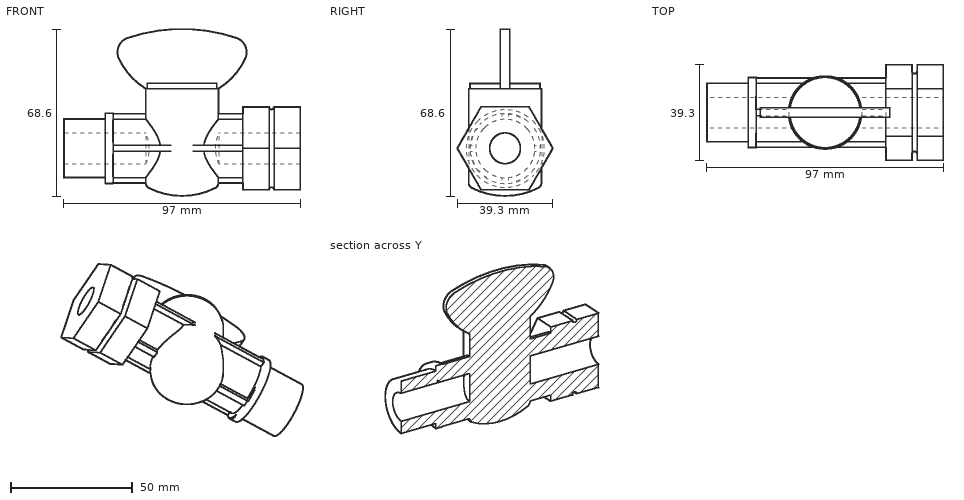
import cadquery as cq
import math

half_length = 48.5
pipe_diameter = 24.2
bore_diameter = 12.6
pipe_tip_fillet = 0.2

ring_diameter = 28.9
ring_width = 3.3
ring_start = -31.5
ring_edge_fillet = 0.3

rib_span = 28.5
rib_thickness = 2.6

hex_corner_width = 39.3
hex_flat_width = hex_corner_width * math.sqrt(3) / 2
nut_width = 10.8
nut_gap = 2.0
nut_start = half_length - 2 * nut_width - nut_gap

stem_diameter = 30.0
stem_radius = stem_diameter / 2
stem_top = 24.4
cap_diameter = 28.9
cap_height = 2.1
dome_radius = 30.0
dome_tip = -19.6
stem_edge_fillet = 2.5

handle_thickness = 4.0
handle_top = 49.0
handle_half_width = 26.5
handle_widest_height = 40.2
handle_shoulder = (22.6, 45.2)
handle_flank_start = (26.1, 37.1)
handle_flank_middle = (21.2, 29.7)


def cylinder_x(diameter, start, length):
    return cq.Workplane("YZ", origin=(start, 0, 0)).circle(diameter / 2).extrude(length)


def make_pipe():
    pipe = cylinder_x(pipe_diameter, -half_length, half_length + nut_start)
    pipe = pipe.faces("<X").edges().fillet(pipe_tip_fillet)
    ring = cylinder_x(ring_diameter, ring_start, ring_width).edges().fillet(ring_edge_fillet)
    return pipe.union(ring)


def make_ribs():
    start = ring_start + ring_width / 2
    length = nut_start - start
    flat = cq.Workplane("XY").box(length, rib_span, rib_thickness)
    upright = cq.Workplane("XY").box(length, rib_thickness, rib_span)
    return flat.union(upright).translate((start + length / 2, 0, 0))


def make_nuts():
    neck_start = nut_start + nut_width
    neck_middle = neck_start + nut_gap / 2
    nuts = cylinder_x(hex_flat_width, neck_start, nut_gap)
    groove = cq.Solid.makeTorus(
        hex_flat_width / 2, nut_gap / 2, cq.Vector(neck_middle, 0, 0), cq.Vector(1, 0, 0)
    )
    nuts = nuts.cut(groove)
    for start in (nut_start, neck_start + nut_gap):
        nut = cq.Workplane("YZ", origin=(start, 0, 0)).polygon(6, hex_corner_width).extrude(nut_width)
        nuts = nuts.union(nut)
    return nuts


def make_stem():
    body = cq.Workplane("XY", origin=(0, 0, dome_tip)).circle(stem_radius).extrude(stem_top - dome_tip)
    dome = cq.Workplane("XY").sphere(dome_radius).translate((0, 0, dome_tip + dome_radius))
    cap = cq.Workplane("XY", origin=(0, 0, stem_top)).circle(cap_diameter / 2).extrude(cap_height)
    body = body.intersect(dome).faces("<Z").edges().fillet(stem_edge_fillet)
    return body.union(cap)


def mirrored(point):
    return (-point[0], point[1])


def make_handle():
    right_base = (stem_radius, stem_top)
    widest = (handle_half_width, handle_widest_height)
    outline = (
        cq.Workplane("XZ")
        .moveTo(*right_base)
        .threePointArc(handle_flank_middle, handle_flank_start)
        .threePointArc(widest, handle_shoulder)
        .threePointArc((0, handle_top), mirrored(handle_shoulder))
        .threePointArc(mirrored(widest), mirrored(handle_flank_start))
        .threePointArc(mirrored(handle_flank_middle), mirrored(right_base))
        .close()
    )
    return outline.extrude(handle_thickness / 2, both=True)


bore = cylinder_x(bore_diameter, -half_length, 2 * half_length)
body = make_pipe().union(make_ribs()).union(make_nuts()).cut(bore)
result = body.union(make_stem()).union(make_handle())